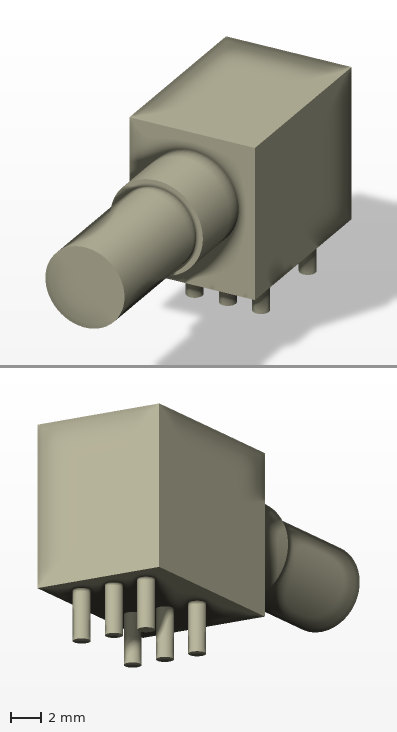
import cadquery as cq

body_width = 9.5
body_length = 13.5
body_height = 11.35

collar_diameter = 7.0
collar_length = 5.0
shaft_diameter = 5.98
shaft_length = 28.5 - body_length - collar_length
axis_below_top = 4.85

pin_diameter = 1.2
pin_length = 3.5
pin_pitch = 2.5
pins_per_row = 3
row_spacing = 6.53
rear_row_inset = 2.0

axis_height = body_height - axis_below_top
rear_row_y = body_length - rear_row_inset


def forward_cylinder(diameter, length):
    """Cylinder on the shaft axis, running from the front face toward -Y."""
    return (
        cq.Workplane("XZ")
        .center(0, axis_height)
        .circle(diameter / 2)
        .extrude(length)
    )


def pin_row(row_y):
    """One row of round pins, centred across the housing width."""
    first_x = -pin_pitch * (pins_per_row - 1) / 2
    centres = [(first_x + i * pin_pitch, row_y) for i in range(pins_per_row)]
    return (
        cq.Workplane("XY")
        .pushPoints(centres)
        .circle(pin_diameter / 2)
        .extrude(-pin_length)
    )


body = cq.Workplane("XY").box(
    body_width, body_length, body_height, centered=(True, False, False)
)
collar = forward_cylinder(collar_diameter, collar_length)
shaft = forward_cylinder(shaft_diameter, collar_length + shaft_length)

result = body.union(collar).union(shaft)
for row_y in (rear_row_y, rear_row_y - row_spacing):
    result = result.union(pin_row(row_y))